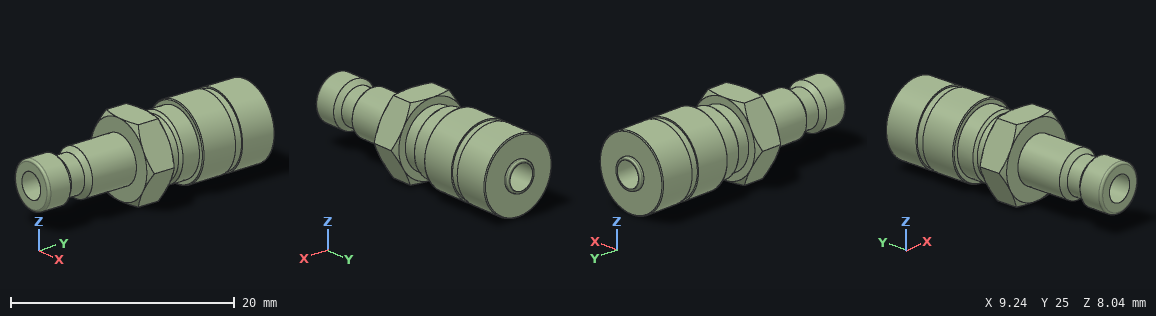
import cadquery as cq
import math

total_length = 25.0
bore_radius = 1.35

plug_radius = 2.5
plug_neck_radius = 2.0
tip_fillet = 0.25
plug_head_length = 2.5
plug_neck_end = 5.0
plug_taper = plug_radius - plug_neck_radius

hex_start = 10.0
hex_length = 3.0
hex_across_flats = 8.0
hex_end = hex_start + hex_length
hex_chamfer_angle = 30.0

neck_radius = 3.22
body_radius = 3.5
body_start = 14.25
body_chamfer = body_radius - neck_radius

sleeve_radius = 4.02
sleeve_start = 16.4
sleeve_end = 24.6
sleeve_edge_chamfer = 0.1
groove_radius = 3.88
groove_width = 0.8
groove_middle = (sleeve_start + sleeve_end) / 2
groove_start = groove_middle - groove_width / 2
groove_end = groove_middle + groove_width / 2

tube_radius = 1.62
tube_fillet = 0.18


def revolve_about_y(outline):
    return outline.close().revolve(360, (0, 0, 0), (0, 1, 0))


def make_turned_body():
    tip_inset = tip_fillet * (1 - math.sqrt(0.5))
    tube_inset = tube_fillet * (1 - math.sqrt(0.5))
    outline = (
        cq.Workplane("XY")
        .moveTo(0, 0)
        .lineTo(plug_radius - tip_fillet, 0)
        .threePointArc((plug_radius - tip_inset, tip_inset), (plug_radius, tip_fillet))
        .lineTo(plug_radius, plug_head_length)
        .lineTo(plug_neck_radius, plug_head_length + plug_taper)
        .lineTo(plug_neck_radius, plug_neck_end - plug_taper)
        .lineTo(plug_radius, plug_neck_end)
        .lineTo(plug_radius, hex_end)
        .lineTo(neck_radius, hex_end)
        .lineTo(neck_radius, body_start)
        .lineTo(body_radius, body_start + body_chamfer)
        .lineTo(body_radius, sleeve_start)
        .lineTo(sleeve_radius - sleeve_edge_chamfer, sleeve_start)
        .lineTo(sleeve_radius, sleeve_start + sleeve_edge_chamfer)
        .lineTo(sleeve_radius, groove_start)
        .lineTo(groove_radius, groove_start)
        .lineTo(groove_radius, groove_end)
        .lineTo(sleeve_radius, groove_end)
        .lineTo(sleeve_radius, sleeve_end - sleeve_edge_chamfer)
        .lineTo(sleeve_radius - sleeve_edge_chamfer, sleeve_end)
        .lineTo(tube_radius, sleeve_end)
        .lineTo(tube_radius, total_length - tube_fillet)
        .threePointArc(
            (tube_radius - tube_inset, total_length - tube_inset),
            (tube_radius - tube_fillet, total_length),
        )
        .lineTo(0, total_length)
    )
    return revolve_about_y(outline)


def make_hexagon():
    corner_radius = hex_across_flats / math.sqrt(3)
    face_radius = hex_across_flats / 2
    chamfer_depth = (corner_radius - face_radius) * math.tan(math.radians(hex_chamfer_angle))
    prism = (
        cq.Workplane("XZ", origin=(0, hex_start, 0))
        .polygon(6, 2 * corner_radius)
        .extrude(-hex_length)
    )
    envelope = (
        cq.Workplane("XY")
        .moveTo(0, hex_start)
        .lineTo(face_radius, hex_start)
        .lineTo(corner_radius, hex_start + chamfer_depth)
        .lineTo(corner_radius, hex_end - chamfer_depth)
        .lineTo(face_radius, hex_end)
        .lineTo(0, hex_end)
    )
    return prism.intersect(revolve_about_y(envelope))


bore = cq.Workplane("XZ").circle(bore_radius).extrude(-total_length)
result = make_turned_body().union(make_hexagon()).cut(bore)